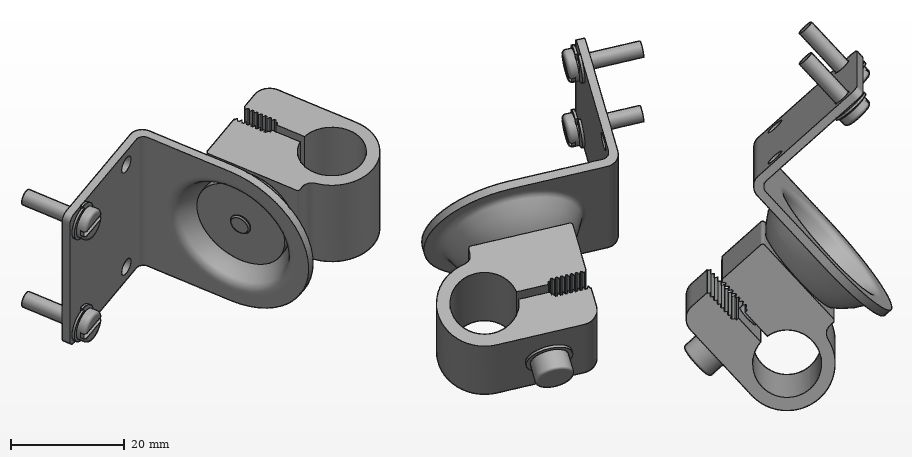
import cadquery as cq
import math


SHEET = 1.6
HALF_WIDTH = 16.0
LEG_OUTER_X = -20.0
LEG_END_Y = -26.1
BEND_OUTER_RADIUS = 2.5
BEND_INNER_RADIUS = 1.45
LEG_CORNER_RADIUS = 1.5
SCREW_HOLE_DIAMETER = 3.2
SCREW_ROW_Y = -22.5
FREE_HOLE_ROW_Y = -6.5
SCREW_SPACING = 25.35

DOME_RADIUS = 13.6
DOME_CENTER_Y = -4.4
DOME_ROOT_RADIUS = 1.45
DOME_LIP_RADIUS = 2.0
DISC_DIAMETER = 17.95
DISC_FACE_Y = 2.0

CLAMP_HALF = 9.5
CLAMP_BOTTOM_Y = 6.0
CLAMP_TOP_Y = 26
CLAMP_RADIUS = 8.5
BORE_DIAMETER = 12.15
CLAMP_TOP_CORNER_RADIUS = 3.0
CLAMP_BOTTOM_CORNER_RADIUS = 0.5
CLAMP_NECK_RADIUS = 2.0
NARROW_SLOT = 1.5
JAW_OPENING = 3.55
JAW_DEPTH = 7.1
GROOVE_COUNT = 8
TOOTH_PITCH = 0.9
TOOTH_BASE = 0.6
TOOTH_HEIGHT = 0.5

BOLT_DIAMETER = 4.05
BOLT_TIP_Y = 1.5
BOLT_TIP_CHAMFER = 0.3
BOLT_COLLAR_DIAMETER = 8.55
BOLT_COLLAR = 0.5
BOLT_HEAD_DIAMETER = 7.0
BOLT_HEAD = 3.9
BOLT_HEAD_ROUNDING = 0.45

SCREW_DIAMETER = 3.0
SCREW_PROTRUSION = 9.55
SCREW_HEAD_DIAMETER = 6.0
SCREW_HEAD = 1.8
SCREW_HEAD_ROUNDING = 0.7
DRIVE_SLOT_WIDTH = 1.15
DRIVE_SLOT_DEPTH = 1.1
DRIVE_SLOT_LENGTH = 5.75
WASHER_DIAMETER = 7.0
WASHER_HEIGHT = 0.95
WASHER_GAP_DEGREES = 3

LEG_INNER_X = LEG_OUTER_X + SHEET
CAVITY_RADIUS = DOME_RADIUS - SHEET
CLAMP_AXIS_Y = CLAMP_TOP_Y - CLAMP_RADIUS
SCREW_Z_PLACES = (-SCREW_SPACING / 2, SCREW_SPACING / 2)


def cylinder_along_y(diameter, start_y, end_y):
    disc = cq.Workplane("XZ", origin=(0, start_y, 0)).circle(diameter / 2)
    return disc.extrude(start_y - end_y)


def ball(radius):
    return cq.Workplane("XY", origin=(0, DOME_CENTER_Y, 0)).sphere(radius)


def dome_shell():
    """Sheet dome with rounded root and lip, revolved about the Y axis."""
    root_y = DOME_ROOT_RADIUS
    root_reach = DOME_RADIUS + DOME_ROOT_RADIUS
    root_x = math.sqrt(root_reach**2 - (root_y - DOME_CENTER_Y) ** 2)
    lip_y = DOME_LIP_RADIUS - SHEET
    lip_reach = CAVITY_RADIUS + DOME_LIP_RADIUS
    lip_x = math.sqrt(lip_reach**2 - (lip_y - DOME_CENTER_Y) ** 2)
    root_angle = math.asin((root_y - DOME_CENTER_Y) / root_reach)
    lip_angle = math.asin((lip_y - DOME_CENTER_Y) / lip_reach)

    def on_sphere(radius, angle):
        return radius * math.cos(angle), DOME_CENTER_Y + radius * math.sin(angle)

    def on_rounding(center_x, center_y, radius, tangent_angle):
        """Middle of the rounding, between the sphere tangent point and the flange face."""
        angle = (tangent_angle + math.pi / 2) / 2
        return center_x - radius * math.cos(angle), center_y - radius * math.sin(angle)

    top = math.pi / 2
    outline = (
        cq.Workplane("XY")
        .moveTo(root_x, 0)
        .threePointArc(
            on_rounding(root_x, root_y, DOME_ROOT_RADIUS, root_angle),
            on_sphere(DOME_RADIUS, root_angle),
        )
        .threePointArc(on_sphere(DOME_RADIUS, (root_angle + top) / 2), on_sphere(DOME_RADIUS, top))
        .lineTo(0, DOME_CENTER_Y + CAVITY_RADIUS)
        .threePointArc(
            on_sphere(CAVITY_RADIUS, (lip_angle + top) / 2),
            on_sphere(CAVITY_RADIUS, lip_angle),
        )
        .threePointArc(
            on_rounding(lip_x, lip_y, DOME_LIP_RADIUS, lip_angle),
            (lip_x, -SHEET),
        )
        .lineTo(root_x, -SHEET)
        .close()
    )
    return outline.revolve(360, (0, 0, 0), (0, 1, 0)), 2 * root_x


def make_bracket():
    dome, dome_foot_diameter = dome_shell()
    angle = (
        cq.Workplane("XY", origin=(0, 0, -HALF_WIDTH))
        .moveTo(LEG_OUTER_X, LEG_END_Y)
        .lineTo(LEG_INNER_X, LEG_END_Y)
        .lineTo(LEG_INNER_X, -SHEET)
        .lineTo(0, -SHEET)
        .lineTo(0, 0)
        .lineTo(LEG_OUTER_X, 0)
        .close()
        .extrude(2 * HALF_WIDTH)
    )
    angle = angle.edges(cq.NearestToPointSelector((LEG_OUTER_X, 0, 0))).fillet(BEND_OUTER_RADIUS)
    angle = angle.edges(cq.NearestToPointSelector((LEG_INNER_X, -SHEET, 0))).fillet(BEND_INNER_RADIUS)
    angle = angle.faces("<Y").edges("|X").fillet(LEG_CORNER_RADIUS)

    bracket = angle.union(cylinder_along_y(2 * HALF_WIDTH, -SHEET, 0))
    bracket = bracket.cut(cylinder_along_y(dome_foot_diameter, -SHEET, 0)).union(dome)

    hole_places = [(y, z) for y in (SCREW_ROW_Y, FREE_HOLE_ROW_Y) for z in SCREW_Z_PLACES]
    screw_holes = (
        cq.Workplane("YZ", origin=(LEG_OUTER_X, 0, 0))
        .pushPoints(hole_places)
        .circle(SCREW_HOLE_DIAMETER / 2)
        .extrude(SHEET)
    )
    bolt_hole = cylinder_along_y(BOLT_DIAMETER, 0, CLAMP_TOP_Y)
    return bracket.cut(screw_holes).cut(bolt_hole)


def jaw_opening():
    """Wide end of the clamp slot, with V-tipped teeth left between grooves on both sides."""
    tip_opening = JAW_OPENING - 2 * TOOTH_HEIGHT
    opening = (
        cq.Workplane("XY", origin=(-CLAMP_HALF + JAW_DEPTH / 2, CLAMP_AXIS_Y, 0))
        .box(JAW_DEPTH, tip_opening, 2 * CLAMP_HALF)
    )
    half_root = (TOOTH_PITCH - TOOTH_BASE) / 2
    for side in (-1, 1):
        tip_y = CLAMP_AXIS_Y + side * tip_opening / 2
        for index in range(GROOVE_COUNT):
            groove_x = -CLAMP_HALF + index * TOOTH_PITCH
            groove = (
                cq.Workplane("XY", origin=(groove_x, tip_y, -CLAMP_HALF))
                .moveTo(-TOOTH_PITCH / 2, 0)
                .lineTo(-half_root, side * TOOTH_HEIGHT)
                .lineTo(half_root, side * TOOTH_HEIGHT)
                .lineTo(TOOTH_PITCH / 2, 0)
                .close()
                .extrude(2 * CLAMP_HALF)
            )
            opening = opening.union(groove)
    return opening


def make_clamp():
    bottom = cq.Workplane("XY", origin=(0, 0, -CLAMP_HALF))
    block_height = CLAMP_TOP_Y - CLAMP_BOTTOM_Y
    block = (
        bottom.center(0, CLAMP_BOTTOM_Y + block_height / 2)
        .rect(2 * CLAMP_HALF, block_height)
        .extrude(2 * CLAMP_HALF)
    )
    block = block.edges("|Z and <X and >Y").fillet(CLAMP_TOP_CORNER_RADIUS)
    block = block.faces("<Y").edges("|Z").fillet(CLAMP_BOTTOM_CORNER_RADIUS)
    tube_end = bottom.center(CLAMP_HALF, CLAMP_AXIS_Y).circle(CLAMP_RADIUS).extrude(2 * CLAMP_HALF)
    neck = cq.NearestToPointSelector((CLAMP_HALF, CLAMP_AXIS_Y - CLAMP_RADIUS, 0))
    clamp = block.union(tube_end).edges(neck).fillet(CLAMP_NECK_RADIUS)

    bore = bottom.center(CLAMP_HALF, CLAMP_AXIS_Y).circle(BORE_DIAMETER / 2).extrude(2 * CLAMP_HALF)
    narrow_slot = (
        cq.Workplane("XY", origin=(0, CLAMP_AXIS_Y, 0))
        .box(2 * CLAMP_HALF, NARROW_SLOT, 2 * CLAMP_HALF)
    )
    bolt_hole = cylinder_along_y(BOLT_DIAMETER, 0, CLAMP_TOP_Y)
    clamp = clamp.cut(bore).cut(narrow_slot).cut(jaw_opening())
    return clamp.cut(bolt_hole).cut(ball(DOME_RADIUS))


def make_joint_disc():
    """Disc inside the dome, with a back that follows the spherical cavity."""
    blank = cylinder_along_y(DISC_DIAMETER, DISC_FACE_Y, CLAMP_TOP_Y)
    bolt_hole = cylinder_along_y(BOLT_DIAMETER, 0, CLAMP_TOP_Y)
    return blank.intersect(ball(CAVITY_RADIUS)).cut(bolt_hole)


def make_clamp_bolt():
    collar_top_y = CLAMP_TOP_Y + BOLT_COLLAR
    shank = cylinder_along_y(BOLT_DIAMETER, BOLT_TIP_Y, CLAMP_TOP_Y)
    shank = shank.faces("<Y").chamfer(BOLT_TIP_CHAMFER)
    collar = cylinder_along_y(BOLT_COLLAR_DIAMETER, CLAMP_TOP_Y, collar_top_y)
    head = cylinder_along_y(BOLT_HEAD_DIAMETER, collar_top_y, collar_top_y + BOLT_HEAD)
    head = head.faces(">Y").edges().fillet(BOLT_HEAD_ROUNDING)
    return shank.union(collar).union(head)


def spring_washer():
    """One left-handed turn of a rectangular section, rising from z = 0, split at local +X."""
    section_height = WASHER_HEIGHT / 2
    inner_radius = SCREW_DIAMETER / 4
    outer_radius = WASHER_DIAMETER / 2
    middle_radius = (inner_radius + outer_radius) / 2
    turn = 1 - WASHER_GAP_DEGREES / 360
    path = cq.Wire.makeHelix(section_height, section_height * turn, middle_radius, lefthand=True)
    section = (
        cq.Workplane("XZ", origin=(middle_radius, 0, 0))
        .rect(outer_radius - inner_radius, section_height)
    )
    washer = section.sweep(cq.Workplane(path), isFrenet=True)
    return washer.translate((0, 0, section_height / 2))


def make_mounting_screw(y, z):
    """Screw built along local Z, its washer seated at local z = 0, then laid along +X."""
    shank_length = SHEET + SCREW_PROTRUSION
    shank = (
        cq.Workplane("XY", origin=(0, 0, -shank_length))
        .circle(SCREW_DIAMETER / 2)
        .extrude(shank_length + WASHER_HEIGHT)
    )
    head_top = WASHER_HEIGHT + SCREW_HEAD
    head = (
        cq.Workplane("XY", origin=(0, 0, WASHER_HEIGHT))
        .circle(SCREW_HEAD_DIAMETER / 2)
        .extrude(SCREW_HEAD)
        .faces(">Z")
        .edges()
        .fillet(SCREW_HEAD_ROUNDING)
    )
    drive_slot = (
        cq.Workplane("XY", origin=(0, 0, head_top - DRIVE_SLOT_DEPTH / 2))
        .box(DRIVE_SLOT_WIDTH, DRIVE_SLOT_LENGTH, DRIVE_SLOT_DEPTH)
    )
    screw = shank.union(spring_washer()).union(head.cut(drive_slot))
    seat = cq.Plane(origin=(LEG_INNER_X, y, z), xDir=(0, 0, 1), normal=(1, 0, 0))
    return screw.solids().val().moved(cq.Location(seat))


bracket = make_bracket()
clamp = make_clamp()
joint_disc = make_joint_disc()
clamp_bolt = make_clamp_bolt()
mounting_screws = [make_mounting_screw(SCREW_ROW_Y, z) for z in SCREW_Z_PLACES]

result = cq.Compound.makeCompound(
    [*(body.solids().val() for body in (bracket, clamp, joint_disc, clamp_bolt)), *mounting_screws]
)